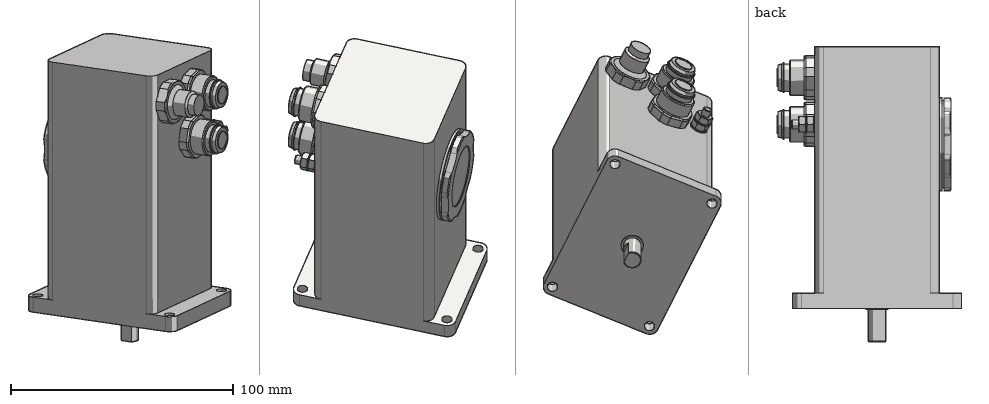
import cadquery as cq
import math


HEX_SIDES = 6

BODY_SIDE = 56.2
BODY_TOP = 118.0
FLANGE_OVERHANG = 10.0
FLANGE_LENGTH = BODY_SIDE + 2 * FLANGE_OVERHANG
FLANGE_THICKNESS = 7.0
CORNER_RADIUS = 4.0
WALL = BODY_SIDE / 2
MOUNT_HOLE_DIA = 4.5
MOUNT_PITCH_X = 68.0
MOUNT_PITCH_Y = 48.0

SHAFT_DIA = 8.0
SHAFT_LENGTH = 15.0
SHAFT_TIP_CHAMFER = 0.3
COLLAR_DIA = 10.0
COLLAR_HEIGHT = 0.5
FLAT_DISTANCE = 3.0
FLAT_LENGTH = 10.0

CAP_CENTER_Z = 74.0
CAP_DIA = 42.0
CAP_SEAL_THICKNESS = 1.2
CAP_NECK_DIA = 39.5
CAP_NECK_LENGTH = 0.8
CAP_THICKNESS = 3.2
CAP_CHAMFER = 0.5
CAP_RECESS_DIA = 28.0
CAP_RECESS_DEPTH = 0.5
SCALLOP_COUNT = 6
SCALLOP_RADIUS = 17.5
SCALLOP_FLOOR_RADIUS = 19.2
SCALLOP_BLEND_RADIUS = 4.5

CONNECTOR_PITCH = 21.0
CONNECTOR_Y = 5.0
CONNECTOR_Z = 104.0
NUT_FLATS = 19.0
NUT_CORNER_DIA = 20.0
NUT_THICKNESS = 4.8
WIDE_NUT_TURN = 15.0
WIDE_NUT_CHAMFER_LENGTH = 0.9
WIDE_NUT_CHAMFER_DEPTH = 0.3
SLIM_NUT_CHAMFER = 0.5

WIDE_SLEEVE_DIA = 16.0
WIDE_SLEEVE_END = 11.4
WIDE_SLEEVE_CHAMFER = 0.5
WIDE_PLUG_DIA = 12.5
WIDE_RIB_DIA = 13.5
WIDE_RIB_START = 13.9
WIDE_RIB_WIDTH = 0.3
WIDE_TAPER_START = 15.0
WIDE_TIP_END = 16.6
WIDE_TIP_DIA = 11.5
WIDE_INSERT_DIA = 8.15
WIDE_LENGTH = 17.05

SLIM_CONE_DIA = 16.0
SLIM_CONE_END = 6.4
SLIM_SLEEVE_DIA = 12.0
SLIM_SLEEVE_END = 12.6
SLIM_SHOULDER_END = 13.4
SLIM_PLUG_DIA = 9.6
SLIM_LENGTH = 16.6

STUD_Y = 20.0
STUD_DIA = 4.0
STUD_LENGTH = 10.4
STUD_TIP_CHAMFER = 0.3
STUD_WASHER_DIA = 8.15
STUD_WASHER_THICKNESS = 0.4
STUD_NUT_FLATS = 7.0
STUD_NUT_THICKNESS = 3.2
STUD_NUT_CORNER_DIA = STUD_NUT_FLATS / math.cos(math.pi / HEX_SIDES)
STUD_NUT_CHAMFER_LENGTH = 0.4
STUD_NUT_CHAMFER_DEPTH = 0.6


def make_housing():
    flange = cq.Workplane("XY").box(
        FLANGE_LENGTH, BODY_SIDE, FLANGE_THICKNESS, centered=(True, True, False)
    )
    flange = flange.edges("|Z").fillet(CORNER_RADIUS)
    flange = (
        flange.faces(">Z").workplane()
        .rect(MOUNT_PITCH_X, MOUNT_PITCH_Y, forConstruction=True).vertices()
        .hole(MOUNT_HOLE_DIA)
    )
    body = cq.Workplane("XY").box(BODY_SIDE, BODY_SIDE, BODY_TOP, centered=(True, True, False))
    body = body.edges("|Z").fillet(CORNER_RADIUS)
    return body.union(flange)


def make_shaft():
    shaft = cq.Workplane("XY").circle(SHAFT_DIA / 2).extrude(-SHAFT_LENGTH)
    shaft = shaft.faces("<Z").chamfer(SHAFT_TIP_CHAMFER)
    flat_cut = cq.Workplane("XY").box(
        SHAFT_DIA, SHAFT_DIA, FLAT_LENGTH, centered=(True, False, False)
    )
    flat_cut = flat_cut.translate((0, -FLAT_DISTANCE - SHAFT_DIA, -SHAFT_LENGTH))
    collar = cq.Workplane("XY").circle(COLLAR_DIA / 2).extrude(-COLLAR_HEIGHT)
    return shaft.cut(flat_cut).union(collar)


def make_cap():
    """Seal, neck and scalloped cap, built along +X from the wall, then turned to face -X."""
    seal = cq.Workplane("YZ").circle(CAP_DIA / 2).extrude(CAP_SEAL_THICKNESS)
    cap_start = CAP_SEAL_THICKNESS + CAP_NECK_LENGTH
    neck = cq.Workplane("YZ").circle(CAP_NECK_DIA / 2).extrude(cap_start)

    grip = cq.Workplane("YZ").circle(CAP_DIA / 2).extrude(CAP_THICKNESS)
    scallops = (
        cq.Workplane("YZ")
        .polarArray(SCALLOP_FLOOR_RADIUS + SCALLOP_RADIUS, 0, 360, SCALLOP_COUNT)
        .circle(SCALLOP_RADIUS).extrude(CAP_THICKNESS)
    )
    grip = grip.cut(scallops).edges("|X").fillet(SCALLOP_BLEND_RADIUS)
    chamfered_disc = (
        cq.Workplane("YZ").circle(CAP_DIA / 2).extrude(CAP_THICKNESS)
        .faces(">X").chamfer(CAP_CHAMFER)
    )
    grip = grip.intersect(chamfered_disc)
    recess = disc(CAP_RECESS_DIA, CAP_RECESS_DEPTH)
    grip = grip.cut(recess.translate((CAP_THICKNESS - CAP_RECESS_DEPTH, 0, 0)))

    cap = seal.union(neck).union(grip.translate((cap_start, 0, 0)))
    return cap.rotate((0, 0, 0), (0, 0, 1), 180).translate((-WALL, 0, CAP_CENTER_Z))


def hex_prism(across_flats, thickness):
    """Hexagonal prism along +X with two flats facing up and down."""
    across_corners = across_flats / math.cos(math.pi / HEX_SIDES)
    return cq.Workplane("YZ").polygon(HEX_SIDES, across_corners).extrude(thickness)


def disc(diameter, thickness):
    return cq.Workplane("YZ").circle(diameter / 2).extrude(thickness)


def turned_body(stations):
    """Solid of revolution about X through (distance from wall, diameter) stations."""
    profile = [(0, 0)]
    profile += [(distance, diameter / 2) for distance, diameter in stations]
    profile.append((stations[-1][0], 0))
    return cq.Workplane("XY").polyline(profile).close().revolve(360, (0, 0, 0), (1, 0, 0))


def make_wide_connector():
    nut = hex_prism(NUT_FLATS, NUT_THICKNESS)
    nut = nut.faces(">X").chamfer(WIDE_NUT_CHAMFER_LENGTH, WIDE_NUT_CHAMFER_DEPTH)
    rounding = disc(NUT_CORNER_DIA, NUT_THICKNESS)
    rounding = rounding.faces(">X").chamfer(WIDE_NUT_CHAMFER_LENGTH, WIDE_NUT_CHAMFER_DEPTH)
    nut = nut.intersect(rounding)
    nut = nut.rotate((0, 0, 0), (1, 0, 0), WIDE_NUT_TURN)
    rib_end = WIDE_RIB_START + WIDE_RIB_WIDTH
    barrel = turned_body([
        (0, WIDE_SLEEVE_DIA),
        (WIDE_SLEEVE_END - WIDE_SLEEVE_CHAMFER, WIDE_SLEEVE_DIA),
        (WIDE_SLEEVE_END, WIDE_SLEEVE_DIA - 2 * WIDE_SLEEVE_CHAMFER),
        (WIDE_SLEEVE_END, WIDE_PLUG_DIA),
        (WIDE_RIB_START, WIDE_PLUG_DIA),
        (WIDE_RIB_START, WIDE_RIB_DIA),
        (rib_end, WIDE_RIB_DIA),
        (rib_end, WIDE_PLUG_DIA),
        (WIDE_TAPER_START, WIDE_PLUG_DIA),
        (WIDE_TIP_END, WIDE_TIP_DIA),
        (WIDE_TIP_END, WIDE_INSERT_DIA),
        (WIDE_LENGTH, WIDE_INSERT_DIA),
    ])
    return nut.union(barrel)


def make_slim_connector():
    rounding = disc(NUT_CORNER_DIA, NUT_THICKNESS).faces(">X").chamfer(SLIM_NUT_CHAMFER)
    nut = hex_prism(NUT_FLATS, NUT_THICKNESS).intersect(rounding)
    barrel = turned_body([
        (0, SLIM_CONE_DIA),
        (NUT_THICKNESS, SLIM_CONE_DIA),
        (SLIM_CONE_END, SLIM_SLEEVE_DIA),
        (SLIM_SLEEVE_END, SLIM_SLEEVE_DIA),
        (SLIM_SHOULDER_END, SLIM_PLUG_DIA),
        (SLIM_LENGTH, SLIM_PLUG_DIA),
    ])
    return nut.union(barrel)


def make_ground_stud():
    stud = disc(STUD_DIA, STUD_LENGTH).faces(">X").chamfer(STUD_TIP_CHAMFER)
    rounding = disc(STUD_NUT_CORNER_DIA, STUD_NUT_THICKNESS)
    rounding = rounding.faces("<X or >X").chamfer(STUD_NUT_CHAMFER_LENGTH, STUD_NUT_CHAMFER_DEPTH)
    nut = hex_prism(STUD_NUT_FLATS, STUD_NUT_THICKNESS).intersect(rounding)
    washer = disc(STUD_WASHER_DIA, STUD_WASHER_THICKNESS)
    stack_pitch = STUD_WASHER_THICKNESS + STUD_NUT_THICKNESS
    for stack_start in (0, stack_pitch):
        stud = stud.union(washer.translate((stack_start, 0, 0)))
        stud = stud.union(nut.translate((stack_start + STUD_WASHER_THICKNESS, 0, 0)))
    return stud


lower_connector_z = CONNECTOR_Z - CONNECTOR_PITCH
wide_connector = make_wide_connector()

result = make_housing().union(make_shaft()).union(make_cap())
for connector_z in (CONNECTOR_Z, lower_connector_z):
    result = result.union(wide_connector.translate((WALL, CONNECTOR_Y, connector_z)))
slim_connector = make_slim_connector()
result = result.union(
    slim_connector.translate((WALL, CONNECTOR_Y - CONNECTOR_PITCH, CONNECTOR_Z))
)
result = result.union(make_ground_stud().translate((WALL, STUD_Y, lower_connector_z)))